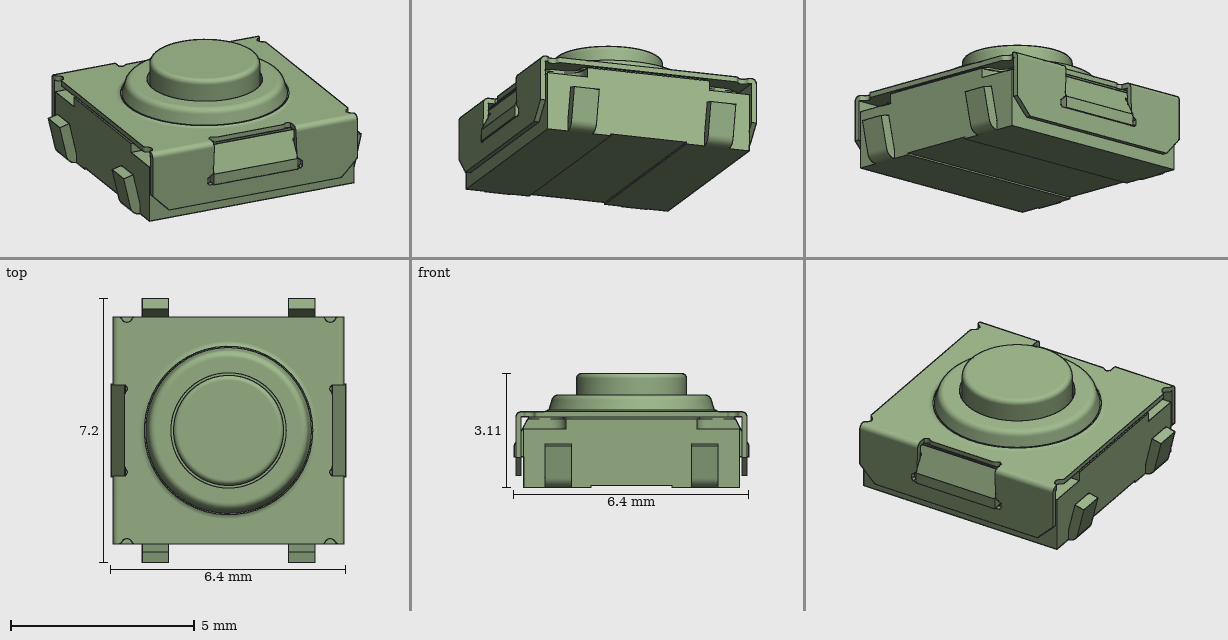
import cadquery as cq
import math

body_x = 5.89
body_y = 6.2
body_top = 1.865
bottom_groove_width = 2.2
bottom_groove_depth = 0.05

ledge_height = 1.6
notch_wall_x = 1.785
notch_depth = 0.69
notch_radius = 0.4

pad_x = 5.63
pad_y = 6.055
pad_tongue_x = 3.69
pad_corner_radius = 0.295

cover_x = 6.31
cover_y = body_y
cover_top = 2.07
cover_bend_radius = 0.15
sheet = 0.145
cover_bottom = cover_top - sheet
skirt_bottom = 0.325
skirt_chamfer = 0.49
edge_relief_x = 2.77
edge_relief_radius = 0.15
edge_relief_fillet = 0.1

hook_reach = 6.4 / 2
hook_bottom = 0.835
hook_nose = 1.15
hook_root_x = 2.84
hook_top_half = 1.24
hook_nose_half = 1.27
window_relief_y = 1.14
window_relief_radius = 0.08
window_relief_fillet = 0.18
ear_half = 1.43
ear_foot_half = 1.38
ear_shoulder = 1.03
ear_foot = 0.89

dome_top = 2.53
dome_base = 2.11
dome_base_radius = 2.26
dome_draft = 17
dome_fillet = 0.195
flange_radius = 2.42
lip_radius = 2.3

button_radius = 3.0 / 2
button_bore_radius = 3.15 / 2
button_top = 3.11
button_fillet = 0.14

terminal_x = 1.995
terminal_width = 0.73
terminal_reach = 7.2 / 2
terminal_thickness = 0.295
terminal_bend_radius = 0.3
terminal_tilt = 13

hook_slope = (hook_reach - hook_root_x) / (body_top - hook_nose)


def block(size_x, size_y, z_low, z_high):
    """Box centred on the Z axis between two heights."""
    return cq.Workplane("XY", origin=(0, 0, z_low)).rect(size_x, size_y).extrude(z_high - z_low)


def on_both_ends(solid, plane):
    """The solid together with its mirror image."""
    return solid.union(solid.mirror(plane))


def corner_notch():
    """Cutter for the notch at the +X +Y corner, with its inner corner rounded."""
    return (
        cq.Workplane("XY", origin=(notch_wall_x, body_y / 2 - notch_depth, ledge_height))
        .rect(body_x / 2 - notch_wall_x, notch_depth, centered=False)
        .extrude(body_top - ledge_height)
        .edges("|Z and <X and <Y")
        .fillet(notch_radius)
    )


def make_housing():
    side_half_x = body_x / 2
    bevel_bottom = body_top - (side_half_x - hook_root_x) / hook_slope
    housing = (
        cq.Workplane("XZ", origin=(0, body_y / 2, 0))
        .polyline([
            (-side_half_x, 0),
            (side_half_x, 0),
            (side_half_x, bevel_bottom),
            (hook_root_x, body_top),
            (-hook_root_x, body_top),
            (-side_half_x, bevel_bottom),
        ])
        .close()
        .extrude(body_y)
    )
    notches = on_both_ends(on_both_ends(corner_notch(), "YZ"), "XZ")
    groove = block(bottom_groove_width, body_y, 0, bottom_groove_depth)
    return housing.cut(notches).cut(groove)


def make_pad():
    """Rounded cross-shaped pad between housing and cover, narrowed beside the corner notches."""
    wide = block(pad_x, body_y - 2 * notch_depth, body_top, cover_bottom)
    tongue = block(pad_tongue_x, pad_y, body_top, cover_bottom)
    return wide.union(tongue).edges("|Z").fillet(pad_corner_radius)


def relief(radius, fillet):
    """Round relief at the origin, cut toward -Y from an edge on the X axis, with a flared mouth."""
    mouth = math.sqrt((radius + fillet)**2 - fillet**2)
    tangent_x = mouth * radius / (radius + fillet)
    tangent_y = -fillet * radius / (radius + fillet)
    flare = math.atan2(mouth, fillet) / 2
    flare_x = mouth - fillet * math.sin(flare)
    flare_y = -fillet * (1 - math.cos(flare))
    return (
        cq.Workplane("XY", origin=(0, 0, cover_bottom))
        .moveTo(-mouth, 0)
        .threePointArc((-flare_x, flare_y), (-tangent_x, tangent_y))
        .threePointArc((0, -radius), (tangent_x, tangent_y))
        .threePointArc((flare_x, flare_y), (mouth, 0))
        .close()
        .extrude(sheet)
    )


def clip_window():
    """Cutter for the +X window: a tapered opening with two ears below and reliefs in the top sheet."""
    outline = [
        (hook_top_half, cover_top),
        (hook_top_half, body_top),
        (hook_nose_half, hook_nose),
        (ear_half, ear_shoulder),
        (ear_half, ear_foot),
        (ear_foot_half, hook_bottom),
    ]
    mirrored = [(-y, z) for y, z in reversed(outline)]
    window = (
        cq.Workplane("YZ", origin=(hook_root_x, 0, 0))
        .polyline(outline + mirrored)
        .close()
        .extrude(cover_x / 2 - hook_root_x)
    )
    notch = relief(window_relief_radius, window_relief_fillet).rotate((0, 0, 0), (0, 0, 1), -90)
    notches = on_both_ends(notch.translate((hook_root_x, window_relief_y, 0)), "XZ")
    opening = block(cover_x, 2 * hook_top_half, cover_bottom, cover_top)
    return window.union(notches.intersect(opening))


def make_cover():
    shell = block(cover_x, cover_y, skirt_bottom, cover_top)
    shell = shell.edges("|Y and >Z").fillet(cover_bend_radius)
    shell = shell.edges("|X and <Z").chamfer(skirt_chamfer)
    shell = shell.cut(block(cover_x - 2 * sheet, cover_y, skirt_bottom, cover_bottom))
    edge_relief = relief(edge_relief_radius, edge_relief_fillet)
    edge_relief = edge_relief.translate((edge_relief_x, cover_y / 2, 0))
    edge_reliefs = on_both_ends(on_both_ends(edge_relief, "YZ"), "XZ")
    return shell.cut(edge_reliefs).cut(on_both_ends(clip_window(), "YZ"))


def make_hook():
    """Wedge on the +X side, continuing the housing bevel and widening toward its nose."""
    wedge = (
        cq.Workplane("XZ", origin=(0, hook_nose_half, 0))
        .polyline([
            (hook_root_x, body_top),
            (hook_reach, hook_nose),
            (hook_reach, hook_bottom),
            (hook_root_x, hook_bottom),
        ])
        .close()
        .extrude(2 * hook_nose_half)
    )
    taper = (
        cq.Workplane("YZ", origin=(hook_root_x, 0, 0))
        .polyline([
            (hook_top_half, body_top),
            (hook_nose_half, hook_nose),
            (hook_nose_half, hook_bottom),
            (-hook_nose_half, hook_bottom),
            (-hook_nose_half, hook_nose),
            (-hook_top_half, body_top),
        ])
        .close()
        .extrude(hook_reach - hook_root_x)
    )
    return wedge.intersect(taper)


def make_dome():
    """Drafted dome with a flared flange and a clearance groove around the button."""
    shoulder_radius = dome_base_radius - (dome_top - dome_base) * math.tan(math.radians(dome_draft))
    flare_run = flange_radius - lip_radius
    flare_rise = dome_base - cover_top
    flare_radius = (flare_run**2 + flare_rise**2) / (2 * flare_rise)
    half_turn = math.asin(flare_run / flare_radius) / 2
    flare_mid = (
        flange_radius - flare_radius * math.sin(half_turn),
        cover_top + flare_radius * (1 - math.cos(half_turn)),
    )
    dome = (
        cq.Workplane("XZ")
        .moveTo(0, cover_bottom)
        .lineTo(flange_radius, cover_bottom)
        .lineTo(flange_radius, cover_top)
        .threePointArc(flare_mid, (lip_radius, dome_base))
        .lineTo(dome_base_radius, dome_base)
        .lineTo(shoulder_radius, dome_top)
        .lineTo(0, dome_top)
        .close()
        .revolve(360, (0, 0, 0), (0, 1, 0))
    )
    dome = dome.faces(">Z").edges().fillet(dome_fillet)
    bore = cq.Workplane("XY", origin=(0, 0, cover_top)).circle(button_bore_radius)
    return dome.cut(bore.extrude(dome_top - cover_top))


def make_button():
    button = cq.Workplane("XY", origin=(0, 0, cover_bottom)).circle(button_radius)
    return button.extrude(button_top - cover_bottom).faces(">Z").edges().fillet(button_fillet)


def make_terminal(centre_x):
    """Terminal on the +Y side, bent up from the seating plane at the housing wall."""
    wall = body_y / 2
    tilt = math.radians(terminal_tilt)
    bend_mid = math.radians(90 - terminal_tilt) / 2
    bend_end = (
        wall + terminal_bend_radius * math.cos(tilt),
        terminal_bend_radius * (1 - math.sin(tilt)),
    )
    tip_outer = (terminal_reach, bend_end[1] + (terminal_reach - bend_end[0]) / math.tan(tilt))
    tip_inner = (
        tip_outer[0] - terminal_thickness * math.cos(tilt),
        tip_outer[1] + terminal_thickness * math.sin(tilt),
    )
    wall_height = tip_inner[1] - (tip_inner[0] - wall) / math.tan(tilt)
    return (
        cq.Workplane("YZ", origin=(centre_x - terminal_width / 2, 0, 0))
        .moveTo(wall, 0)
        .threePointArc(
            (
                wall + terminal_bend_radius * math.sin(bend_mid),
                terminal_bend_radius * (1 - math.cos(bend_mid)),
            ),
            bend_end,
        )
        .lineTo(*tip_outer)
        .lineTo(*tip_inner)
        .lineTo(wall, wall_height)
        .close()
        .extrude(terminal_width)
    )


result = make_housing().union(make_pad()).union(make_cover())
result = result.union(on_both_ends(make_hook(), "YZ"))
result = result.union(make_dome()).union(make_button())
for side in (-1, 1):
    result = result.union(on_both_ends(make_terminal(side * terminal_x), "XZ"))